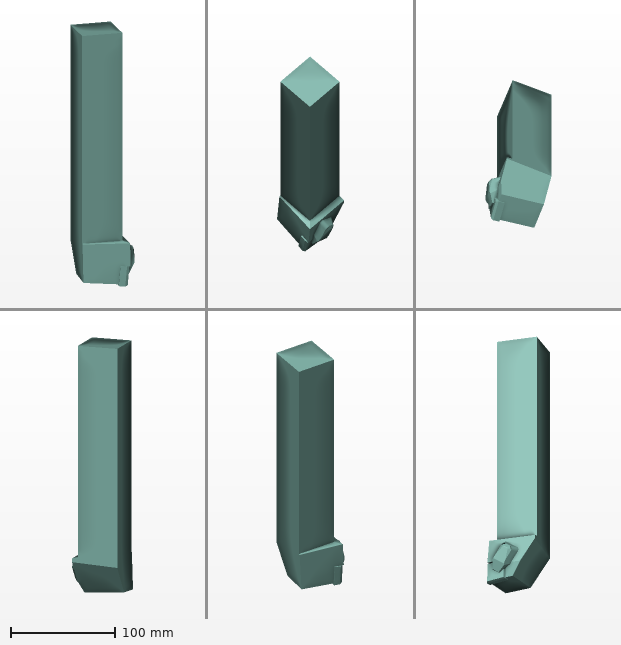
import cadquery as cq
import math

shank = 40.2
total_height = 251.4

head_depth = 46.2
shoulder_height = 43.2
shoulder_slope = 0.28
front_outline = [(0, shoulder_height), (0, 35.7), (19.5, 7.5), (44.7, 5.3), (41.5, shoulder_height)]
back_outline = [(0, shoulder_height), (0, 38.0), (24.1, 3.3), (49.5, 1.0), (46.0, shoulder_height)]

relief_start = 16.5
relief_end_depth = 42.2
relief_end_height = 3.8

insert_side = 19.4
insert_thickness = 8.8
insert_corner_angle = 80.0
insert_tilt = 6.0
pocket_clearance_height = 20.0
land_width = 1.0
land_depth = 2.5
tip_x = 50.3
tip_y = 40.2
tip_z = 0.0

heel_x = 23.0
heel_z = 34.7
clamp_turn = 57.0
clamp_length = 30.2
clamp_width = 18.5
nose_start = 17.5
nose_width = 7.5
clamp_foot = 40.2
clamp_top = 55.0
clamp_draft = 25.0
heel_diameter = 8.0
top_bevel = 2.3
crest = 7.0
nose_break = 21.4
nose_break_top = 52.3
nose_tip_top = 46.8


def wire_at_depth(points, depth):
    """Closed outline in an XZ plane at the given Y."""
    return cq.Wire.makePolygon([cq.Vector(x, depth, z) for x, z in points], close=True)


def shoulder_envelope():
    """Frustum widening downward from the shank to the sloping shoulders."""
    margin = 125.7
    spread = shoulder_height / shoulder_slope
    rectangles = []
    for height, growth in ((shoulder_height, 0), (0, spread)):
        low = -margin - growth
        high = shank + growth
        corners = [(low, low), (high, low), (high, high), (low, high)]
        rectangles.append(cq.Wire.makePolygon([cq.Vector(x, y, height) for x, y in corners], close=True))
    return cq.Workplane(cq.Solid.makeLoft(rectangles, True))


def head():
    outlines = [wire_at_depth(front_outline, 0), wire_at_depth(back_outline, head_depth)]
    block = cq.Workplane(cq.Solid.makeLoft(outlines, True)).intersect(shoulder_envelope())
    run = relief_start / (relief_start - relief_end_height)
    relief_depth_at_base = head_depth - run * (head_depth - relief_end_depth)
    relief = (
        cq.Workplane("YZ")
        .polyline([(head_depth, relief_start), (relief_depth_at_base, 0), (head_depth, 0)])
        .close()
        .extrude(tip_x)
    )
    return block.cut(relief)


def place_insert(body):
    """Move a body with its tip at the local origin and its top facing local Z into the head."""
    return (
        body.rotate((0, 0, 0), (1, 0, 0), -90)
        .rotate((0, 0, 0), (1, 0, 0), -insert_tilt)
        .rotate((0, 0, 0), (0, 0, 1), -insert_tilt)
        .translate((tip_x, tip_y, tip_z))
    )


def insert_block(top):
    """Rhombic block from the insert seat up to the given level above the cutting edge."""
    base = land_depth - insert_thickness
    lean = math.radians((90 - insert_corner_angle) / 2)
    along = insert_side * math.cos(lean)
    across = insert_side * math.sin(lean)
    far = -along - across
    return (
        cq.Workplane("XY", origin=(0, 0, base))
        .polyline([(0, 0), (-along, -across), (far, far), (-across, -along)])
        .close()
        .extrude(top - base)
    )


def cutting_insert():
    return place_insert(insert_block(land_depth).faces(">Z").edges().chamfer(land_depth, land_width))


def clamp():
    half_width = clamp_width / 2
    half_nose = nose_width / 2
    plan = [
        (0, -half_width),
        (nose_start, -half_width),
        (clamp_length, -half_nose),
        (clamp_length, half_nose),
        (nose_start, half_width),
        (0, half_width),
    ]
    drafted = (
        cq.Workplane("XY", origin=(0, -half_width, head_depth))
        .rect(2 * clamp_length, clamp_width, centered=False)
        .extrude(clamp_top - head_depth, taper=clamp_draft)
    )
    heel_corner = cq.selectors.BoxSelector(
        (0, -clamp_width, head_depth + top_bevel), (crest, clamp_width, clamp_top)
    )
    bevelled = drafted.faces(">Z").edges().chamfer(top_bevel)
    rounded = bevelled.edges(heel_corner).edges("(not #Z) and (not |Y)").fillet(heel_diameter / 2)
    foot = cq.Workplane("XY", origin=(0, -half_width, clamp_foot)).box(
        clamp_length, clamp_width, head_depth - clamp_foot, centered=False
    )
    outline = (
        cq.Workplane("XY", origin=(0, 0, clamp_foot)).polyline(plan).close().extrude(clamp_top - clamp_foot)
    )
    falling_top = (
        cq.Workplane("XZ")
        .moveTo(crest, clamp_top)
        .lineTo(nose_break, nose_break_top)
        .lineTo(clamp_length, nose_tip_top)
        .lineTo(clamp_length, clamp_top)
        .close()
        .extrude(clamp_width, both=True)
    )
    return rounded.union(foot).intersect(outline).cut(falling_top)


def place_clamp(body):
    """Turn the local XY plan of the clamp into XZ, with its local Z along +Y."""
    return (
        body.rotate((0, 0, 0), (1, 0, 0), -90)
        .rotate((0, 0, 0), (0, 1, 0), clamp_turn)
        .translate((heel_x, 0, heel_z))
    )


insert = cutting_insert()
open_pocket = place_insert(insert_block(pocket_clearance_height))
bar = cq.Workplane("XY", origin=(0, 0, shoulder_height)).rect(shank, shank, centered=False).extrude(
    total_height - shoulder_height
)
holder = bar.union(head()).cut(open_pocket).union(place_clamp(clamp())).cut(insert)
result = cq.Compound.makeCompound([holder.solids().val(), insert.solids().val()])